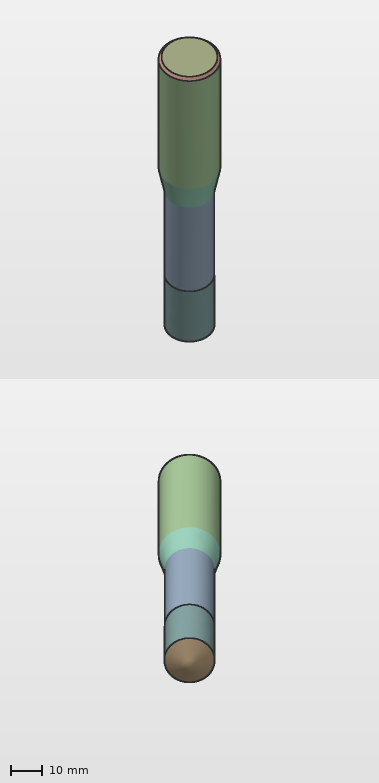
import cadquery as cq
import math

total_length = 126.0
shank_diameter = 20.0
shank_length = 50.0
shank_chamfer = 1.0
neck_diameter = 16.1
transition_length = 10.5
point_angle = 120.0
cutter_diameter = 16.25
cutter_length = 27.5

shank_radius = shank_diameter / 2
neck_radius = neck_diameter / 2
cutter_radius = cutter_diameter / 2

point_height = cutter_radius / math.tan(math.radians(point_angle / 2))
shank_bottom = total_length - shank_length
neck_top = shank_bottom - transition_length


def revolve_profile(points):
    """Revolve a closed (radius, height) outline a full turn about the Z axis."""
    return cq.Workplane("XZ").polyline(points).close().revolve(360, (0, 0, 0), (0, 1, 0))


def make_holder():
    """Cylindrical shank with a chamfered top, tapering down to a slimmer neck."""
    body = revolve_profile([
        (0, cutter_length),
        (neck_radius, cutter_length),
        (neck_radius, neck_top),
        (shank_radius, shank_bottom),
        (shank_radius, total_length),
        (0, total_length),
    ])
    return body.faces(">Z").chamfer(shank_chamfer)


def make_cutter():
    """Cutting head with a conical point and a slight back taper, flush with the neck where they meet."""
    return revolve_profile([
        (0, 0),
        (cutter_radius, point_height),
        (neck_radius, cutter_length),
        (0, cutter_length),
    ])


holder = make_holder()
cutter = make_cutter()

result = cq.Compound.makeCompound([holder.val(), cutter.val()])